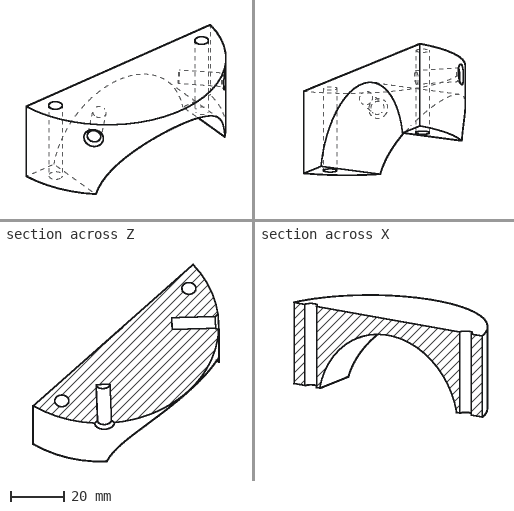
import cadquery as cq
import math

length = 88.0
width = 38.1
height = 31.8
disc_radius = ((length / 2) ** 2 + width**2) / (2 * width)
disc_center_x = width - disc_radius

arch_height = 25.3
arch_span = 61.6
arch_radius = ((arch_span / 2) ** 2 + arch_height**2) / (2 * arch_height)
arch_center_z = arch_height - arch_radius

hole_diameter = 5.1
hole_x = 6.3
hole_spacing = 69.9

radial_hole_angle = 45.0
radial_hole_drop = 6.25
radial_hole_depth = 17.6
countersink_diameter = 7.65
countersink_depth = (countersink_diameter - hole_diameter) / 2


def make_body():
    return (
        cq.Workplane("XY")
        .moveTo(0, -length / 2)
        .threePointArc((width, 0), (0, length / 2))
        .close()
        .extrude(height)
    )


def make_arch():
    return cq.Workplane("YZ").center(0, arch_center_z).circle(arch_radius).extrude(width)


def make_vertical_holes():
    return (
        cq.Workplane("XY")
        .pushPoints([(hole_x, -hole_spacing / 2), (hole_x, hole_spacing / 2)])
        .circle(hole_diameter / 2)
        .extrude(height)
    )


def make_radial_hole(angle):
    """Blind hole with a conical mouth, pointing at the axis of the disc."""
    outward = cq.Vector(math.cos(math.radians(angle)), math.sin(math.radians(angle)), 0)
    disc_axis = cq.Vector(disc_center_x, 0, height - radial_hole_drop)
    mouth = disc_axis + outward * disc_radius
    inward = outward * -1

    overshoot = countersink_depth
    start = mouth + outward * overshoot
    bore = cq.Solid.makeCylinder(hole_diameter / 2, radial_hole_depth + overshoot, start, inward)
    cone = cq.Solid.makeCone(
        countersink_diameter / 2 + overshoot,
        hole_diameter / 2,
        countersink_depth + overshoot,
        start,
        inward,
    )
    return cq.Workplane("XY").add(bore.fuse(cone))


result = make_body().cut(make_arch()).cut(make_vertical_holes())
for hole_angle in (-radial_hole_angle, radial_hole_angle):
    result = result.cut(make_radial_hole(hole_angle))